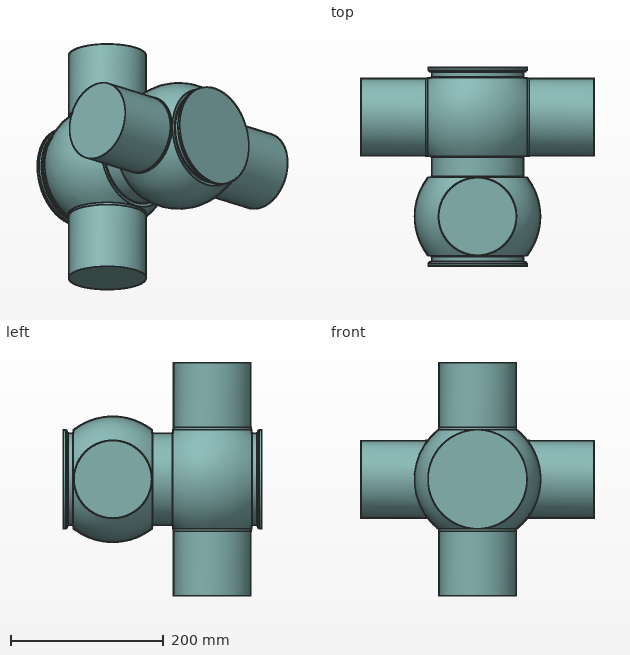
import cadquery as cq

body_length = 260.35
pipe_span = 305.56

ball_radius = 82.8
ball_offset = body_length / 4
pipe_flat = ball_offset
neck_flat = 51.5

pipe_radius = 50.8
collar_radius = 51.0
collar_width = 3.0

neck_radius = 60.325
ring_radius = 60.7
ring_width = 1.0

flange_radius = 64.9
flange_thickness = 5.5
bevel_width = 2.0


def cylinder_along_y(radius, y_start, y_end):
    """Solid cylinder on the Y axis between two Y positions."""
    return cq.Workplane("XZ", origin=(0, y_start, 0)).circle(radius).extrude(y_start - y_end)


def ball_with_pipes(y_center):
    """Truncated ball with a pair of opposite pipes along Z."""
    base = cq.Workplane("XY", origin=(0, y_center, 0))
    core = base.circle(ball_radius).extrude(pipe_flat, both=True)
    slab = cylinder_along_y(ball_radius, y_center - neck_flat, y_center + neck_flat)
    ball = base.sphere(ball_radius).intersect(core).intersect(slab)
    collars = base.circle(collar_radius).extrude(pipe_flat + collar_width, both=True)
    pipes = base.circle(pipe_radius).extrude(pipe_span / 2, both=True)
    return ball.union(collars).union(pipes)


def end_flange(side):
    """Flange at the -Y end (side = -1) or the +Y end (side = 1)."""
    face = side * body_length / 2
    flange = cylinder_along_y(flange_radius, face, face - side * flange_thickness)
    inner_edge = "<Y" if side > 0 else ">Y"
    return flange.faces(inner_edge).edges().chamfer(bevel_width)


def neck_rings(side):
    """Rings on both flats of one ball and on the inner side of its flange."""
    ball_center = side * ball_offset
    ball_reach = neck_flat + ring_width
    ball_rings = cylinder_along_y(ring_radius, ball_center - ball_reach, ball_center + ball_reach)
    flange_ring_end = body_length / 2 - flange_thickness - ring_width
    flange_ring = cylinder_along_y(ring_radius, side * body_length / 2, side * flange_ring_end)
    return ball_rings.union(flange_ring)


neck = cylinder_along_y(neck_radius, -body_length / 2, body_length / 2)
front_ball = ball_with_pipes(-ball_offset)
rear_ball = ball_with_pipes(ball_offset).rotate((0, 0, 0), (0, 1, 0), 90)

result = neck.union(front_ball).union(rear_ball)
for side in (-1, 1):
    result = result.union(neck_rings(side)).union(end_flange(side))